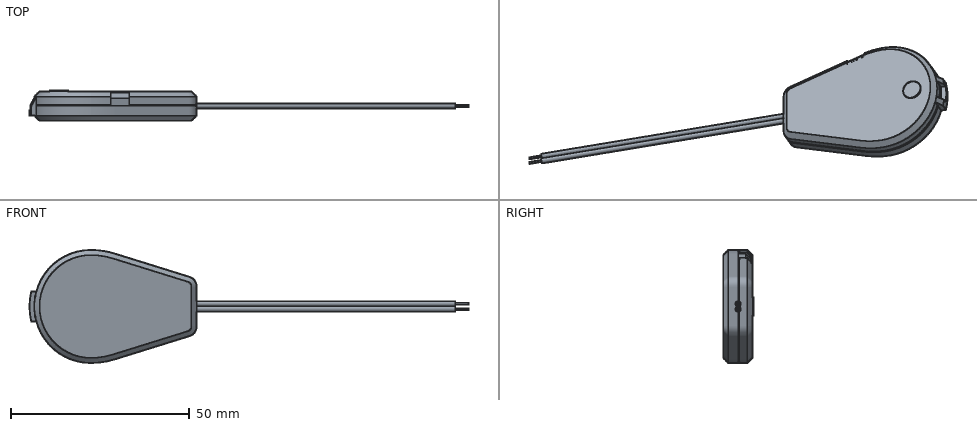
import cadquery as cq
import math


round_radius = 15.9
shoulder_radius = 22.1
flank_angle = math.radians(17.3)
end_x = 29.7
corner_radius = 3.0

thickness = 8.2
edge_chamfer = 1.5
parting_y = 4.2
groove_width = 0.4
groove_depth = 0.4

notch_start_x = 5.5
notch_length = 5.2
notch_end_y = thickness - groove_depth

tab_reach = 1.4
tab_width = 8.5
tab_front_y = edge_chamfer
tab_back_y = thickness - edge_chamfer
window_width = 4.9
window_front_y = 3.0

button_x = -9.0
button_radius = 2.6
button_height = 0.4

insulation_diameter = 1.5
conductor_diameter = 0.6
insulation_end_x = 102.1
conductor_end_x = 105.8


def plate(inset, front_y, back_y):
    """Teardrop plate between two Y levels, its outline moved inwards by inset."""
    shoulder_z = round_radius - shoulder_radius
    middle_x = shoulder_radius * math.sin(flank_angle / 2)
    middle_z = shoulder_z + shoulder_radius * math.cos(flank_angle / 2)
    flank_x = shoulder_radius * math.sin(flank_angle)
    flank_z = shoulder_z + shoulder_radius * math.cos(flank_angle)
    end_z = flank_z - (end_x - flank_x) * math.tan(flank_angle)
    outline = (
        cq.Workplane("XZ", origin=(0, front_y, 0))
        .moveTo(0, -round_radius)
        .threePointArc((-round_radius, 0), (0, round_radius))
        .threePointArc((middle_x, middle_z), (flank_x, flank_z))
        .lineTo(end_x, end_z)
        .lineTo(end_x, -end_z)
        .lineTo(flank_x, -flank_z)
        .threePointArc((middle_x, -middle_z), (0, -round_radius))
        .close()
    )
    if inset > 0:
        outline = outline.offset2D(-inset)
    solid = outline.extrude(front_y - back_y)
    return solid.edges("|Y and >X").fillet(corner_radius - inset)


def make_front_shell():
    """Plain front half of the housing, chamfered around its front face."""
    return plate(0, 0, parting_y).faces("<Y").chamfer(edge_chamfer)


def make_back_shell():
    """Outer skin with the side notch, over a core that shows in the notch and the parting groove."""
    skin = plate(0, parting_y + groove_width, thickness).faces(">Y").chamfer(edge_chamfer)
    core = plate(groove_depth, parting_y, thickness - groove_depth).faces(">Y").chamfer(edge_chamfer)
    notch = cq.Workplane("XY").box(
        notch_length, notch_end_y - parting_y, round_radius, centered=False
    ).translate((notch_start_x, parting_y, 0))
    return skin.cut(notch).union(core)


def make_tab():
    """Curved tab with a sloped back and a window open to the housing wall."""
    outer_radius = round_radius + tab_reach
    ring = (
        cq.Workplane("XY")
        .moveTo(-round_radius, tab_front_y)
        .lineTo(-outer_radius, tab_front_y)
        .lineTo(-outer_radius, parting_y)
        .lineTo(-round_radius, tab_back_y)
        .close()
        .revolve(360, (0, 0, 0), (0, 1, 0))
    )
    tab_height_y = tab_back_y - tab_front_y
    sector = cq.Workplane("XY").box(
        outer_radius, tab_height_y, tab_width, centered=(False, False, True)
    ).translate((-outer_radius, tab_front_y, 0))
    window = cq.Workplane("XY").box(
        outer_radius, tab_back_y - window_front_y, window_width, centered=(False, False, True)
    ).translate((-outer_radius, window_front_y, 0))
    return ring.intersect(sector).cut(window)


def make_button():
    """Round button standing on the back face."""
    return cq.Workplane("XZ", origin=(button_x, thickness, 0)).circle(button_radius).extrude(-button_height)


def rod(diameter, length, z):
    """Round rod along X from the narrow end of the housing."""
    return cq.Workplane("YZ", origin=(end_x, parting_y, z)).circle(diameter / 2).extrude(length)


def make_conductor(z):
    """Bare core that runs through the insulation and out beyond it."""
    return rod(conductor_diameter, conductor_end_x - end_x, z)


def make_insulation(z):
    """Sleeve around one conductor."""
    return rod(insulation_diameter, insulation_end_x - end_x, z).cut(make_conductor(z))


bodies = [make_front_shell(), make_back_shell(), make_tab(), make_button()]
for side in (-1, 1):
    wire_z = side * insulation_diameter / 2
    bodies.append(make_insulation(wire_z))
    bodies.append(make_conductor(wire_z))

result = cq.Compound.makeCompound([body.solids().val() for body in bodies])